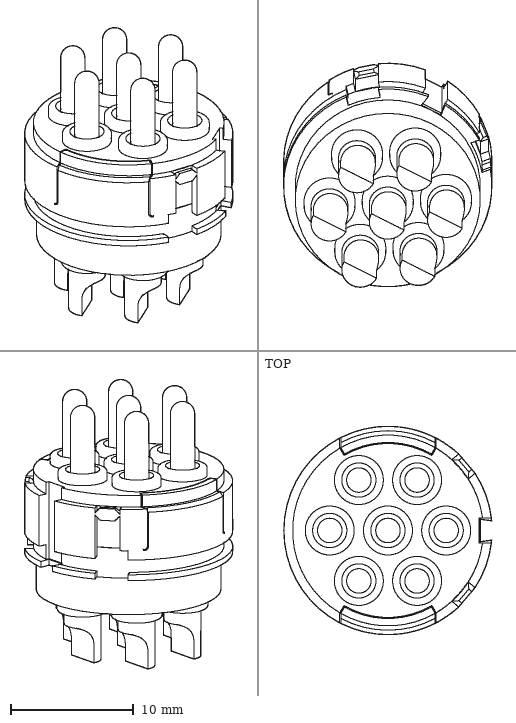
import cadquery as cq
import math

SCOOP_TOP_Z = 3.0
LOWER_COLLAR_Z = 4.1
BODY_BOTTOM_Z = 5.1
FLANGE_BOTTOM_Z = 8.25
FLANGE_TOP_Z = 8.75
RING_BOTTOM_Z = 10.0
RELIEF_Z = 10.8
RING_TOP_Z = 14.3
BODY_TOP_Z = 15.29
UPPER_COLLAR_Z = 16.1
TIP_Z = 21.5

RING_DIAMETER = 17.0
RING_R = RING_DIAMETER / 2
NECK_R = 7.78
LOWER_BODY_R = 7.55

CONTACT_CIRCLE_R = 4.75
CONTACT_COUNT = 6
PIN_DIAMETER = 2.0
PIN_R = PIN_DIAMETER / 2
TAIL_R = 1.5
UPPER_COLLAR_R = 2.0
LOWER_COLLAR_R = 2.09
COLLAR_FILLET = 0.2
COUNTERSINK_R = 1.4

LATCH_HALF_ANGLE = 30.0
LATCH_INNER_R = 7.14
SLIT = 0.09
SLIT_HOOK_R = 0.32
LATCH_CHAMFER_DEPTH = 0.37
LATCH_CHAMFER_HEIGHT = 0.28

SLOT_FLOOR_X = 7.42
SLOT_HALF_WIDTH = 1.03
FLANGE_SLOT_INNER_HALF = 0.9
FLANGE_SLOT_OUTER_HALF = 0.77

KEY_ANGLE = 40.3
KEY_HALF_WIDTH = 1.03
KEY_FLOOR = math.sqrt(NECK_R**2 - KEY_HALF_WIDTH**2)
KEY_MOUTH_EXTRA = 0.65
KEY_BLOCK_HEIGHT = 1.0
KEY_BLOCK_FACE = math.sqrt(RING_R**2 - KEY_HALF_WIDTH**2)
KEY_BLOCK_BEVEL_WIDTH = 0.4
KEY_BLOCK_BEVEL_HEIGHT = 0.4

OUTSIDE = RING_R + 1.08


def disc(radius, z_low, z_high):
    return cq.Workplane("XY").workplane(offset=z_low).circle(radius).extrude(z_high - z_low)


def box_between(x_low, x_high, y_low, y_high, z_low, z_high):
    size = (x_high - x_low, y_high - y_low, z_high - z_low)
    return cq.Workplane("XY").box(*size, centered=False).translate((x_low, y_low, z_low))


def turn(shape, angle):
    return shape.rotate((0, 0, 0), (0, 0, 1), angle)


def core():
    """Lower body, neck and top, without the parts that stand out from the neck."""
    lower = disc(LOWER_BODY_R, BODY_BOTTOM_Z, FLANGE_BOTTOM_Z)
    return lower.union(disc(NECK_R, FLANGE_BOTTOM_Z, BODY_TOP_Z))


def rims():
    """Flange and wide ring, as sleeves around the neck."""
    flange = disc(RING_R, FLANGE_BOTTOM_Z, FLANGE_TOP_Z)
    ring = disc(RING_R, RING_BOTTOM_Z, RING_TOP_Z)
    return flange.union(ring).cut(disc(NECK_R, FLANGE_BOTTOM_Z, RING_TOP_Z))


def main_slot():
    slot = box_between(
        SLOT_FLOOR_X, OUTSIDE, -SLOT_HALF_WIDTH, SLOT_HALF_WIDTH, FLANGE_TOP_Z, BODY_TOP_Z
    )
    notch = (
        cq.Workplane("XY")
        .workplane(offset=FLANGE_BOTTOM_Z)
        .polyline(
            [
                (LOWER_BODY_R, -FLANGE_SLOT_INNER_HALF),
                (RING_R, -FLANGE_SLOT_OUTER_HALF),
                (RING_R, FLANGE_SLOT_OUTER_HALF),
                (LOWER_BODY_R, FLANGE_SLOT_INNER_HALF),
            ]
        )
        .close()
        .extrude(FLANGE_TOP_Z - FLANGE_BOTTOM_Z)
    )
    return slot.union(notch)


def key_channel():
    """Channel along +X that breaks through the flange and the wide ring."""
    channel = box_between(
        0, OUTSIDE, -KEY_HALF_WIDTH, KEY_HALF_WIDTH, FLANGE_BOTTOM_Z, RING_TOP_Z
    )
    mouth = box_between(
        0, OUTSIDE, KEY_HALF_WIDTH, KEY_HALF_WIDTH + KEY_MOUTH_EXTRA, FLANGE_BOTTOM_Z, RELIEF_Z
    )
    return channel.union(mouth)


def key_floor_flat():
    """Sliver taken off the neck so that the channel along +X has a flat floor."""
    return box_between(
        KEY_FLOOR, OUTSIDE, -KEY_HALF_WIDTH, KEY_HALF_WIDTH, RELIEF_Z, RING_TOP_Z
    )


def key_block():
    """Bevelled block that closes the top of a key channel along +X."""
    z_low = RING_TOP_Z - KEY_BLOCK_HEIGHT
    root = KEY_FLOOR
    bevel_w = KEY_BLOCK_BEVEL_WIDTH
    bevel_h = KEY_BLOCK_BEVEL_HEIGHT
    half = KEY_HALF_WIDTH
    octagon = (
        cq.Workplane("YZ")
        .polyline(
            [
                (-half, z_low + bevel_h),
                (-half + bevel_w, z_low),
                (half - bevel_w, z_low),
                (half, z_low + bevel_h),
                (half, RING_TOP_Z - bevel_h),
                (half - bevel_w, RING_TOP_Z),
                (-half + bevel_w, RING_TOP_Z),
                (-half, RING_TOP_Z - bevel_h),
            ]
        )
        .close()
        .extrude(KEY_BLOCK_FACE)
    )
    bevelled_side = (
        cq.Workplane("XZ")
        .polyline(
            [
                (root, z_low + bevel_h),
                (root + bevel_w, z_low),
                (KEY_BLOCK_FACE, z_low),
                (KEY_BLOCK_FACE, RING_TOP_Z),
                (root + bevel_w, RING_TOP_Z),
                (root, RING_TOP_Z - bevel_h),
            ]
        )
        .close()
        .extrude(half, both=True)
    )
    return octagon.intersect(bevelled_side)


def latch_side_slit():
    """Slit along the +X edge of the +Y latch, with a hook at its foot that curves away."""
    edge_x = NECK_R * math.sin(math.radians(LATCH_HALF_ANGLE))
    edge_y = NECK_R * math.cos(math.radians(LATCH_HALF_ANGLE))
    inner_x = edge_x - SLIT / 2
    outer_x = edge_x + SLIT / 2
    hook_x = inner_x + SLIT_HOOK_R
    hook_z = RELIEF_Z + SLIT_HOOK_R
    diagonal = math.sqrt(0.5)
    hook_inside_r = SLIT_HOOK_R - SLIT
    straight = (
        cq.Workplane("XZ", origin=(0, edge_y, 0))
        .moveTo(inner_x, BODY_TOP_Z)
        .lineTo(inner_x, hook_z)
        .threePointArc(
            (hook_x - SLIT_HOOK_R * diagonal, hook_z - SLIT_HOOK_R * diagonal), (hook_x, RELIEF_Z)
        )
        .lineTo(hook_x, RELIEF_Z + SLIT)
        .threePointArc(
            (hook_x - hook_inside_r * diagonal, hook_z - hook_inside_r * diagonal),
            (outer_x, hook_z),
        )
        .lineTo(outer_x, BODY_TOP_Z)
        .close()
        .extrude(-(OUTSIDE - edge_y))
    )
    radial = box_between(-SLIT / 2, SLIT / 2, LATCH_INNER_R, NECK_R, RELIEF_Z, BODY_TOP_Z)
    return straight.union(turn(radial, -LATCH_HALF_ANGLE))


def latch_cut():
    """Slits that free the +Y latch, plus the bevel on its outer top edge."""
    edge_x = NECK_R * math.sin(math.radians(LATCH_HALF_ANGLE))
    inner_half = LATCH_INNER_R * math.sin(math.radians(LATCH_HALF_ANGLE))
    back = disc(LATCH_INNER_R + SLIT / 2, RELIEF_Z, BODY_TOP_Z)
    back = back.cut(disc(LATCH_INNER_R - SLIT / 2, RELIEF_Z, BODY_TOP_Z))
    back = back.intersect(
        box_between(-inner_half, inner_half, 0, OUTSIDE, RELIEF_Z, BODY_TOP_Z)
    )
    bevel = (
        cq.Workplane("XZ")
        .polyline(
            [
                (RING_R, RING_TOP_Z - LATCH_CHAMFER_HEIGHT),
                (RING_R, RING_TOP_Z),
                (RING_R - LATCH_CHAMFER_DEPTH, RING_TOP_Z),
            ]
        )
        .close()
        .revolve(360, (0, 0, 0), (0, 1, 0))
        .intersect(box_between(-edge_x, edge_x, 0, OUTSIDE, RELIEF_Z, BODY_TOP_Z))
    )
    side = latch_side_slit()
    return back.union(side).union(side.mirror("YZ")).union(bevel)


def contact():
    """Pin, two collars and a scooped solder tail, standing on the Z axis."""
    upper_collar = disc(UPPER_COLLAR_R, BODY_BOTTOM_Z, UPPER_COLLAR_Z)
    upper_collar = upper_collar.faces(">Z").edges().fillet(COLLAR_FILLET)
    countersink_depth = COUNTERSINK_R - PIN_R
    countersink_foot = cq.Vector(0, 0, UPPER_COLLAR_Z - countersink_depth)
    countersink = cq.Workplane(
        cq.Solid.makeCone(PIN_R, COUNTERSINK_R, countersink_depth, countersink_foot)
    )
    upper_collar = upper_collar.cut(countersink)

    lower_collar = disc(LOWER_COLLAR_R, LOWER_COLLAR_Z, FLANGE_BOTTOM_Z)
    lower_collar = lower_collar.faces("<Z").edges().fillet(COLLAR_FILLET)

    dome_z = TIP_Z - PIN_R
    pin = disc(PIN_R, BODY_TOP_Z, dome_z)
    pin = pin.union(cq.Workplane("XY").sphere(PIN_R).translate((0, 0, dome_z)))

    diagonal = TAIL_R * math.sqrt(0.5)
    arc_z = SCOOP_TOP_Z - TAIL_R
    scoop = (
        cq.Workplane("XZ")
        .lineTo(0, arc_z)
        .threePointArc((TAIL_R - diagonal, arc_z + diagonal), (TAIL_R, SCOOP_TOP_Z))
        .lineTo(TAIL_R, 0)
        .close()
        .extrude(TAIL_R, both=True)
    )
    tail = disc(TAIL_R, 0, FLANGE_BOTTOM_Z).cut(scoop)
    return upper_collar.union(lower_collar).union(pin).union(tail)


channel = turn(key_channel(), KEY_ANGLE)
block = turn(key_block(), KEY_ANGLE)
floor_flat = turn(key_floor_flat(), KEY_ANGLE)
body = core().union(rims().cut(channel).cut(channel.mirror("XZ")))
body = body.cut(floor_flat).cut(floor_flat.mirror("XZ"))
body = body.union(block).union(block.mirror("XZ"))
body = body.cut(main_slot())

latch = latch_cut()
body = body.cut(latch).cut(latch.mirror("XZ"))

one_contact = contact()
result = body.union(one_contact)
for index in range(CONTACT_COUNT):
    angle = math.radians(index * 360 / CONTACT_COUNT)
    place = (CONTACT_CIRCLE_R * math.cos(angle), CONTACT_CIRCLE_R * math.sin(angle), 0)
    result = result.union(one_contact.translate(place))